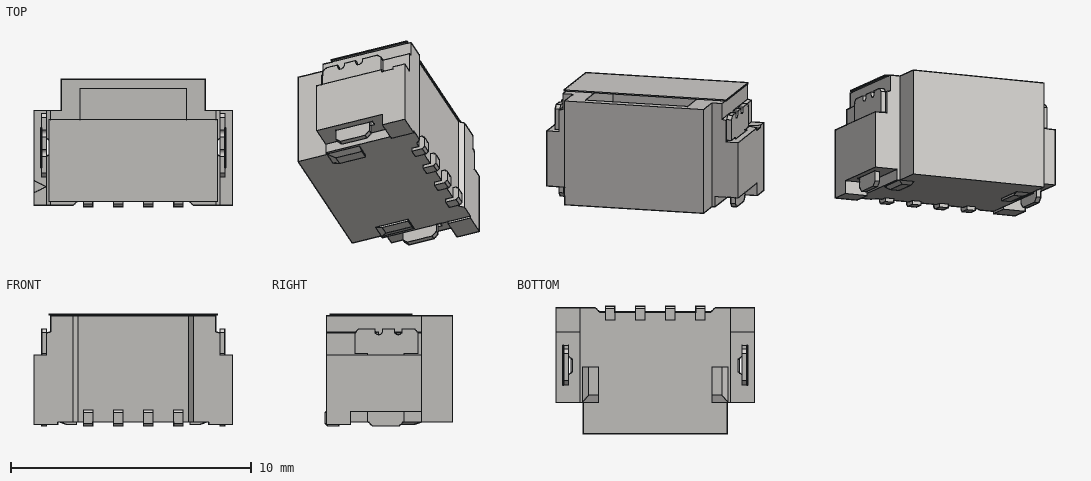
import cadquery as cq


WIDTH = 8.25
BODY_DEPTH = 3.94
TOTAL_DEPTH = 5.24
REAR_WIDTH = 5.99
BASE_Z = 0.16
TOP_Z = 4.58
DECK_Z = 2.95
NECK_WIDTH = 7.19
LEDGE_LOW_Z = 3.87
LEDGE_HIGH_Z = 3.91
CROWN_WIDTH = 6.86

WALL = 0.4
POCKET_WIDTH = 4.405

RECESS_DEPTH = 0.2
RECESS_WIDTH = 4.98
FOOT_Z = 0.06
FOOT_DEPTH = 1.01
FOOT_INNER_X = 3.13
UNDERCUT_Z = 0.6

PAD_INNER_X = 2.35
PAD_OUTER_X = 3.03
PAD_FRONT_Y = 2.475
PAD_BACK_Y = 3.935
PAD_SLOPE_X = 0.26
PAD_SLOPE_Y = 0.3

TAB_OUTER_X = 3.8
TAB_INNER_X = NECK_WIDTH / 2
TAB_FRONT_Y = 1.19
TAB_BACK_Y = 3.81
TAB_LOW_Z = 3.0
TAB_TOP_Z = 4.035
TAB_CHAMFER = 0.16
STEM_FRONT_Y = 1.72
STEM_BACK_Y = 3.22
STEM_CHAMFER = 0.19
NOTCH_WIDTH = 0.3
NOTCH_BOTTOM_Z = 3.79
NOTCH_CENTERS_Y = (2.18, 2.99)

SLOT_OUTER_X = 3.84
SLOT_FRONT_Y = 1.57
RELIEF_FRONT_Y = 2.04
RELIEF_BACK_Y = 2.78
RELIEF_TAPER = 0.12

ARROW_CENTER_Y = 0.775
ARROW_BASE = 0.51
ARROW_LENGTH = 0.51
ARROW_DEPTH = 0.11

TAIL_COUNT = 4
TAIL_PITCH = 1.245
TAIL_WIDTH = 0.4
TAIL_HEIGHT = 0.66
TAIL_FRONT_Y = -0.06
TAIL_BACK_Y = 0.52
TAIL_CHAMFER = 0.11

FILM_WIDTH = 7.0
FILM_FRONT_Y = 0.16
FILM_BACK_Y = 3.555
FILM_GAP = 0.025
FILM_THICKNESS = 0.05


def block(x_range, y_range, z_range):
    """Box between the given limits along each axis."""
    limits = (x_range, y_range, z_range)
    sizes = [high - low for low, high in limits]
    corner = tuple(low for low, high in limits)
    return cq.Workplane("XY").box(*sizes, centered=False).translate(corner)


def prism_along_y(points_xz, y_start, y_end):
    """Polygon in the XZ plane swept from y_start to y_end."""
    return cq.Workplane("XZ", origin=(0, y_start, 0)).polyline(points_xz).close().extrude(y_start - y_end)


def prism_along_z(points_xy, z_start, z_end):
    """Polygon in the XY plane swept from z_start to z_end."""
    return cq.Workplane("XY", origin=(0, 0, z_start)).polyline(points_xy).close().extrude(z_end - z_start)


def on_both_sides(right_hand):
    """The +X shape together with its mirror image in the YZ plane."""
    return right_hand.union(right_hand.mirror("YZ"))


def housing_shell():
    """Stepped main body joined to the narrower rear block."""
    half_section = [
        (0, BASE_Z),
        (WIDTH / 2, BASE_Z),
        (WIDTH / 2, DECK_Z),
        (NECK_WIDTH / 2, DECK_Z),
        (NECK_WIDTH / 2, LEDGE_LOW_Z),
        (CROWN_WIDTH / 2, LEDGE_HIGH_Z),
        (CROWN_WIDTH / 2, TOP_Z),
        (0, TOP_Z),
    ]
    body = on_both_sides(prism_along_y(half_section, 0, BODY_DEPTH))
    rear = block((-REAR_WIDTH / 2, REAR_WIDTH / 2), (RECESS_DEPTH, TOTAL_DEPTH), (BASE_Z, TOP_Z))
    return body.union(rear)


def mating_pocket():
    """Pocket open at the top, with the same wall in front, behind and below."""
    return block(
        (-POCKET_WIDTH / 2, POCKET_WIDTH / 2),
        (RECESS_DEPTH + WALL, TOTAL_DEPTH - WALL),
        (BASE_Z + WALL, TOP_Z),
    )


def front_recess():
    """Shallow full-height recess in the front face with 45 degree ends."""
    outer = RECESS_WIDTH / 2
    inner = outer - RECESS_DEPTH
    outline = [(-outer, 0), (outer, 0), (inner, RECESS_DEPTH), (-inner, RECESS_DEPTH)]
    return prism_along_z(outline, BASE_Z, TOP_Z)


def side_undercut():
    """Space under the body side, behind the foot."""
    return block((FOOT_INNER_X, WIDTH / 2), (FOOT_DEPTH, BODY_DEPTH), (BASE_Z, UNDERCUT_Z))


def stem_slot():
    """Clearance slot for the tab stem, from the deck down to the undercut."""
    return block((TAB_INNER_X, SLOT_OUTER_X), (SLOT_FRONT_Y, STEM_BACK_Y), (UNDERCUT_Z, DECK_Z))


def neck_relief():
    """Tapered vertical channel in the neck, as deep as the ledge is wide."""
    outline = [
        (NECK_WIDTH / 2, RELIEF_FRONT_Y),
        (NECK_WIDTH / 2, RELIEF_BACK_Y),
        (CROWN_WIDTH / 2, RELIEF_BACK_Y - RELIEF_TAPER),
        (CROWN_WIDTH / 2, RELIEF_FRONT_Y + RELIEF_TAPER),
    ]
    return prism_along_z(outline, BASE_Z, LEDGE_HIGH_Z)


def arrow_mark():
    """Triangular sunk mark pointing inward from the left side."""
    side = -WIDTH / 2
    outline = [
        (side, ARROW_CENTER_Y - ARROW_BASE / 2),
        (side + ARROW_LENGTH, ARROW_CENTER_Y),
        (side, ARROW_CENTER_Y + ARROW_BASE / 2),
    ]
    return prism_along_z(outline, DECK_Z - ARROW_DEPTH, DECK_Z)


def foot():
    """Standing foot at the front corner."""
    return block((FOOT_INNER_X, WIDTH / 2), (0, FOOT_DEPTH), (FOOT_Z, BASE_Z))


def rear_pad():
    """Low pad under the housing, sloped at its outer and rear sides."""
    outer_slope = [
        (PAD_INNER_X, BASE_Z),
        (PAD_OUTER_X, BASE_Z),
        (PAD_OUTER_X - PAD_SLOPE_X, FOOT_Z),
        (PAD_INNER_X, FOOT_Z),
    ]
    rear_slope = [
        (PAD_FRONT_Y, BASE_Z),
        (PAD_BACK_Y, BASE_Z),
        (PAD_BACK_Y - PAD_SLOPE_Y, FOOT_Z),
        (PAD_FRONT_Y, FOOT_Z),
    ]
    across = prism_along_y(outer_slope, PAD_FRONT_Y, PAD_BACK_Y)
    along = cq.Workplane("YZ").polyline(rear_slope).close().extrude(PAD_OUTER_X)
    return across.intersect(along)


def tab_notch(center_y):
    """U-shaped notch cut down from the top edge of a tab."""
    radius = NOTCH_WIDTH / 2
    arc_z = NOTCH_BOTTOM_Z + radius
    return (
        cq.Workplane("YZ", origin=(TAB_INNER_X, 0, 0))
        .moveTo(center_y - radius, TAB_TOP_Z)
        .lineTo(center_y - radius, arc_z)
        .threePointArc((center_y, NOTCH_BOTTOM_Z), (center_y + radius, arc_z))
        .lineTo(center_y + radius, TAB_TOP_Z)
        .close()
        .extrude(TAB_OUTER_X - TAB_INNER_X)
    )


def hold_down_tab():
    """Notched plate above the deck on a stem that runs down to Z = 0."""
    thickness = (TAB_INNER_X, TAB_OUTER_X)
    plate = block(thickness, (TAB_FRONT_Y, TAB_BACK_Y), (TAB_LOW_Z, TAB_TOP_Z))
    plate = plate.faces(">Z").edges("|X").chamfer(TAB_CHAMFER)
    for center_y in NOTCH_CENTERS_Y:
        plate = plate.cut(tab_notch(center_y))
    stem = block(thickness, (STEM_FRONT_Y, STEM_BACK_Y), (0, TAB_LOW_Z))
    stem = stem.faces("<Z").edges("|X").chamfer(STEM_CHAMFER)
    return plate.union(stem)


def solder_tail(center_x):
    """Contact tail with both front edges chamfered."""
    tail = block(
        (center_x - TAIL_WIDTH / 2, center_x + TAIL_WIDTH / 2),
        (TAIL_FRONT_Y, TAIL_BACK_Y),
        (0, TAIL_HEIGHT),
    )
    return tail.faces("<Y").edges("|X").chamfer(TAIL_CHAMFER)


def make_connector():
    """Housing in one piece with its feet, pads, tabs and solder tails."""
    connector = housing_shell().cut(mating_pocket()).cut(front_recess()).cut(arrow_mark())
    for side_cut in (side_undercut(), stem_slot(), neck_relief()):
        connector = connector.cut(on_both_sides(side_cut))
    for side_part in (foot(), rear_pad(), hold_down_tab()):
        connector = connector.union(on_both_sides(side_part))
    for index in range(TAIL_COUNT):
        center_x = (index - (TAIL_COUNT - 1) / 2) * TAIL_PITCH
        connector = connector.union(solder_tail(center_x))
    return connector


def make_cover_film():
    """Thin pick-up film held just above the top of the housing."""
    film_bottom = TOP_Z + FILM_GAP
    return block(
        (-FILM_WIDTH / 2, FILM_WIDTH / 2),
        (FILM_FRONT_Y, FILM_BACK_Y),
        (film_bottom, film_bottom + FILM_THICKNESS),
    )


connector = make_connector()
cover_film = make_cover_film()

result = cq.Compound.makeCompound([connector.val(), cover_film.val()])